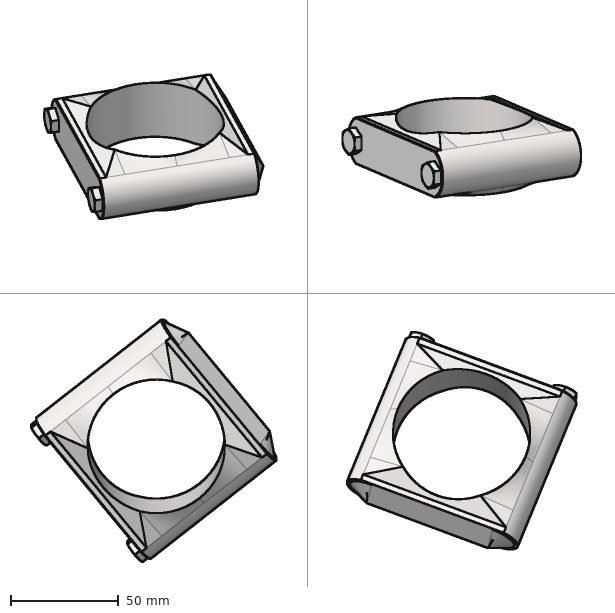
import cadquery as cq
import math

body_half_width = 42.6
flat_half_width = 35.55
body_half_height = 11.2
body_front = -37.7
body_back = 37.6
end_chamfer = 0.3

bore_radius = 31.8
rim_height = 14.9
rim_half_length = 25.3
slope_foot = 34.35
rim_half_width = math.sqrt(bore_radius ** 2 - rim_half_length ** 2)

ridge_half_length = 30.1
ridge_y = 43.4
taper_half_height = body_half_height - end_chamfer

head_across_flats = 11.1
head_front = -41.5
head_chamfer = 0.3
head_corner_diameter = head_across_flats / math.cos(math.pi / 6)


def make_body():
    w, h = flat_half_width, body_half_height
    return (
        cq.Workplane("XZ", origin=(0, body_front, 0))
        .moveTo(-w, h)
        .lineTo(w, h)
        .threePointArc((body_half_width, 0), (w, -h))
        .lineTo(-w, -h)
        .threePointArc((-body_half_width, 0), (-w, h))
        .close()
        .extrude(body_front - body_back)
        .faces("<Y or >Y")
        .chamfer(end_chamfer)
    )


def solid_from(faces):
    return cq.Workplane(cq.Solid.makeSolid(cq.Shell.makeShell(faces)))


def polygon_face(points):
    return cq.Face.makeFromWires(cq.Wire.makePolygon(points, close=True))


def make_end_slope():
    """Hip-shaped block rising from the +Y end to the rim."""
    foot_right = cq.Vector(flat_half_width, slope_foot, body_half_height)
    foot_left = cq.Vector(-flat_half_width, slope_foot, body_half_height)
    base_right = cq.Vector(flat_half_width, rim_half_length, body_half_height)
    base_left = cq.Vector(-flat_half_width, rim_half_length, body_half_height)
    top_right = cq.Vector(rim_half_width, rim_half_length, rim_height)
    top_left = cq.Vector(-rim_half_width, rim_half_length, rim_height)
    outlines = [
        [foot_right, foot_left, base_left, base_right],
        [foot_right, top_right, top_left, foot_left],
        [foot_right, base_right, top_right],
        [foot_left, top_left, base_left],
        [base_right, base_left, top_left, top_right],
    ]
    return solid_from([polygon_face(points) for points in outlines])


def make_side_slope():
    """Ruled block from the straight +X edge of the flat up to the rim arc, for Y >= 0."""
    middle_angle = math.asin(rim_half_length / bore_radius) / 2
    rim_start = cq.Vector(bore_radius, 0, rim_height)
    rim_middle = cq.Vector(
        bore_radius * math.cos(middle_angle), bore_radius * math.sin(middle_angle), rim_height
    )
    rim_end = cq.Vector(rim_half_width, rim_half_length, rim_height)
    base_start = cq.Vector(bore_radius, 0, body_half_height)
    base_end = cq.Vector(rim_half_width, rim_half_length, body_half_height)
    foot_start = cq.Vector(flat_half_width, 0, body_half_height)
    foot_end = cq.Vector(flat_half_width, rim_half_length, body_half_height)

    foot = cq.Edge.makeLine(foot_start, foot_end)
    rim = cq.Edge.makeThreePointArc(rim_start, rim_middle, rim_end)
    chord = cq.Edge.makeLine(rim_end, rim_start)
    return solid_from([
        cq.Face.makeRuledSurface(foot, rim),
        cq.Face.makeFromWires(cq.Wire.assembleEdges([rim, chord])),
        polygon_face([rim_start, rim_end, base_end, base_start]),
        polygon_face([foot_start, foot_end, base_end, base_start]),
        polygon_face([foot_start, rim_start, base_start]),
        polygon_face([foot_end, rim_end, base_end]),
    ])


def make_back_taper():
    """Wedge narrowing to a ridge, closed by a half cone at each end."""
    height = ridge_y - body_back
    taper = (
        cq.Workplane("YZ", origin=(-ridge_half_length, 0, 0))
        .polyline([(body_back, -taper_half_height), (ridge_y, 0), (body_back, taper_half_height)])
        .close()
        .extrude(2 * ridge_half_length)
    )
    for side in (-1, 1):
        base_center = cq.Vector(side * ridge_half_length, body_back, 0)
        cone = cq.Solid.makeCone(taper_half_height, 0, height, base_center, cq.Vector(0, 1, 0))
        taper = taper.union(cq.Workplane(cone))
    return taper


def make_bolt_head(x):
    length = body_front - head_front
    plane = cq.Workplane("XZ", origin=(x, body_front, 0))
    hexagon = plane.polygon(6, head_corner_diameter).extrude(length)
    hexagon = hexagon.rotate((x, 0, 0), (x, 1, 0), 30)
    envelope = (
        plane.circle(head_corner_diameter / 2)
        .extrude(length)
        .faces("<Y")
        .chamfer(head_chamfer, (head_corner_diameter - head_across_flats) / 2)
    )
    return hexagon.intersect(envelope)


result = make_body().union(make_back_taper())

end_slope = make_end_slope()
right_slope = make_side_slope()
left_slope = right_slope.mirror("YZ")
for slope in (end_slope, right_slope, left_slope):
    for upper_piece in (slope, slope.mirror("XZ")):
        result = result.union(upper_piece).union(upper_piece.mirror("XY"))

bore = cq.Workplane("XY").circle(bore_radius).extrude(rim_height, both=True)
result = result.cut(bore)

for side in (-1, 1):
    result = result.union(make_bolt_head(side * flat_half_width))